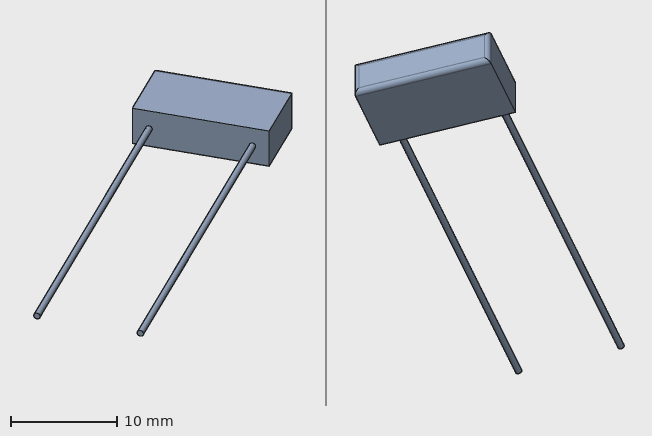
import cadquery as cq

total_length = 42.5

housing_width = 13.5
housing_length = 7.5
housing_height = 3.9
rear_edge_radius = 0.5

lead_diameter = 0.65
lead_spacing = 10.2
lead_length = total_length - housing_length


def make_housing():
    """Box with its front face on the XZ plane, reaching back along +Y."""
    box = cq.Workplane("XY").box(
        housing_width, housing_length, housing_height, centered=(True, False, True)
    )
    return box.faces(">Y").edges().fillet(rear_edge_radius)


def make_lead(x):
    """Round wire running forward along -Y from the housing's front face."""
    return cq.Workplane("XZ").center(x, 0).circle(lead_diameter / 2).extrude(lead_length)


housing = make_housing()
leads = [make_lead(side * lead_spacing / 2) for side in (-1, 1)]

result = cq.Compound.makeCompound([housing.val(), *[lead.val() for lead in leads]])